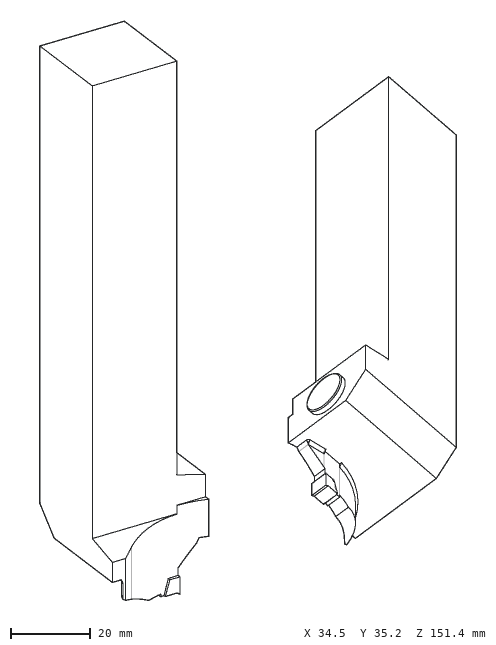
import cadquery as cq
import math

total_height = 151.4
shank_size = 25.0

head_width = 34.5
head_depth = 33.5
head_bottom = 14.4
corner_chamfer = 6.8
side_ramp_root = 8.2
side_ramp_tip = 5.8
rear_ramp_root = 19.2
rear_ramp_tip = 17.0
rear_lug_height = 10.6

clearance_radius = 27.2
clearance_x = 25.1
clearance_y = 25.0
clearance_end_y = 7.7
nose_y = 4.0

screw_diameter = 11.8
screw_height = 1.7
screw_chamfer = 0.3
screw_x = 12.9
screw_z = head_bottom + 7.4

blade_x = 21.5
blade_front_y = 3.2
blade_flat_front_y = 19.8
blade_flat_rear_y = 25.6
blade_rear_y = 30.4
blade_rear_x = 22.4
blade_inner_mid = (26.2, 9.0)
blade_front_z = 8.6
blade_slope_end_y = 15.6
blade_floor_z = 1.4
seat_floor_z = 0.6
blade_rear_slope_z = 7.1
collar_height = 1.4
collar_flare = 0.6

insert_x = 21.2
insert_width = 4.8
insert_rear_y = 25.3
insert_edge_y = 24.4
insert_top_z = 5.0
insert_heel_y = 22.2
insert_toe_y = 20.9


def clearance_arc_x(y):
    """X of the clearance arc at a given Y."""
    return clearance_x + clearance_radius - math.sqrt(clearance_radius**2 - (y - clearance_y) ** 2)


def prism_along_x(points, x_start, length):
    return cq.Workplane("YZ", origin=(x_start, 0, 0)).polyline(points).close().extrude(length)


def prism_along_y(points, length):
    return cq.Workplane("XZ").polyline(points).close().extrude(-length)


def plan_prism(z_bottom, height):
    """Plan outline of the head, with its hollow +X side."""
    return (
        cq.Workplane("XY", origin=(0, 0, z_bottom))
        .lineTo(head_width, 0)
        .lineTo(head_width, nose_y)
        .lineTo(clearance_arc_x(clearance_end_y), clearance_end_y)
        .threePointArc((clearance_x, clearance_y), (clearance_arc_x(head_depth), head_depth))
        .lineTo(0, head_depth)
        .close()
        .extrude(height)
    )


def blade_plan(z_top):
    return (
        cq.Workplane("XY", origin=(0, 0, z_top))
        .moveTo(blade_x, blade_flat_front_y)
        .threePointArc(blade_inner_mid, (head_width, blade_front_y))
        .lineTo(head_width, nose_y)
        .lineTo(clearance_arc_x(clearance_end_y), clearance_end_y)
        .threePointArc((clearance_x, clearance_y), (clearance_arc_x(blade_rear_y), blade_rear_y))
        .lineTo(blade_rear_x, blade_rear_y)
        .lineTo(blade_x, blade_flat_rear_y)
        .close()
    )


def make_head():
    front_profile = [
        (0, total_height),
        (0, head_bottom + corner_chamfer),
        (corner_chamfer, head_bottom),
        (head_width, head_bottom),
        (head_width, head_bottom + side_ramp_tip),
        (shank_size, head_bottom + side_ramp_root),
        (shank_size, total_height),
    ]
    side_profile = [
        (0, head_bottom),
        (head_depth, head_bottom),
        (head_depth, head_bottom + rear_ramp_tip),
        (shank_size, head_bottom + rear_ramp_root),
        (shank_size, total_height),
        (0, total_height),
    ]
    rear_lug = cq.Workplane("XY").box(
        head_width - shank_size, head_depth - shank_size, rear_lug_height, centered=False
    ).translate((shank_size, shank_size, head_bottom))
    return (
        prism_along_y(front_profile, head_depth)
        .intersect(prism_along_x(side_profile, 0, head_width))
        .union(rear_lug)
        .intersect(plan_prism(head_bottom, total_height - head_bottom))
    )


def make_screw_head():
    return (
        cq.Workplane("XZ", origin=(screw_x, head_depth, screw_z))
        .circle(screw_diameter / 2)
        .extrude(-screw_height)
        .faces(">Y")
        .chamfer(screw_chamfer)
    )


def make_collar():
    """Flared root of the blade, interrupted at the insert's flat face."""
    flare_angle = math.degrees(math.atan(collar_flare / collar_height))
    flare = blade_plan(head_bottom).offset2D(collar_flare).extrude(-collar_height, taper=flare_angle)
    flat_relief = cq.Workplane("XY").box(
        blade_x, blade_flat_rear_y - blade_flat_front_y, head_bottom, centered=False
    ).translate((0, blade_flat_front_y, 0))
    return flare.intersect(plan_prism(0, head_bottom)).cut(flat_relief)


def make_blade():
    side_profile = [
        (blade_front_y, head_bottom),
        (blade_front_y, blade_front_z),
        (blade_slope_end_y, blade_floor_z),
        (blade_flat_front_y, blade_floor_z),
        (blade_flat_front_y, seat_floor_z),
        (insert_rear_y, seat_floor_z),
        (insert_rear_y, blade_rear_slope_z),
        (blade_rear_y, head_bottom - collar_height),
        (blade_rear_y, head_bottom),
    ]
    return (
        blade_plan(head_bottom)
        .extrude(-head_bottom)
        .intersect(prism_along_x(side_profile, 0, head_width))
        .union(make_collar())
    )


def make_insert():
    side_profile = [
        (insert_rear_y, 0),
        (insert_rear_y, insert_top_z),
        (insert_heel_y, insert_top_z),
        (insert_toe_y, seat_floor_z),
        (insert_edge_y, seat_floor_z),
    ]
    return prism_along_x(side_profile, insert_x, insert_width)


insert = make_insert()
holder = make_head().union(make_screw_head()).union(make_blade()).cut(insert)

result = cq.Compound.makeCompound([holder.solids().val(), insert.val()])